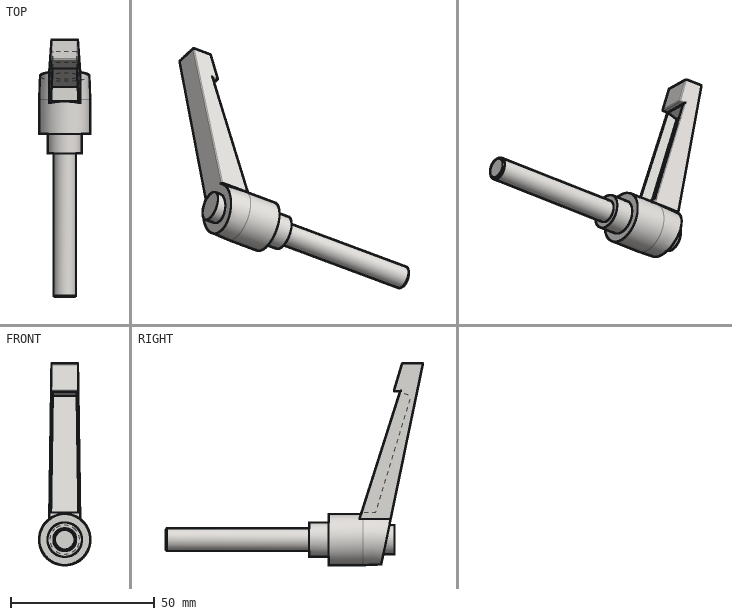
import cadquery as cq

overall_length = 89.9

hub_radius = 9.0
hub_straight_length = 12.0
hub_taper_length = 11.7
hub_back_radius = 8.5
collar_radius = 6.0
collar_length = 6.8
shaft_radius = 4.0
shaft_chamfer = 0.5
button_radius = 5.1
button_back_y = 23.0

arm_base_z = 7.2
arm_top_z = 61.7
arm_base_width = 11.0
arm_top_width = 9.35
arm_base_front_y = 10.7
arm_base_back_y = 21.7
arm_top_front_y = 25.6
arm_top_back_y = 33.0
step_z = 51.8
step_tip_y = 22.65
step_root_y = 24.9
arm_edge_fillet = 0.315
step_tip_fillet = 0.4
top_front_fillet = 0.8
top_back_fillet = 0.4

pocket_bottom_z = 9.5
pocket_base_depth = 4.9
pocket_top_depth = 4.0
pocket_wall = 0.7
pocket_top_gap = 0.3

back_slope = (arm_top_back_y - arm_base_back_y) / (arm_top_z - arm_base_z)
front_slope = (step_root_y - arm_base_front_y) / (step_z - arm_base_z)


def back_y(z):
    """Position at height z of the sloping plane shared by the arm and hub backs."""
    return arm_base_back_y + back_slope * (z - arm_base_z)


def front_y(z):
    """Position at height z of the arm's front face below the step."""
    return arm_base_front_y + front_slope * (z - arm_base_z)


def cylinder(radius, start_y, end_y):
    """Cylinder about the Y axis."""
    plane = cq.Workplane("XZ", origin=(0, start_y, 0))
    return plane.circle(radius).extrude(start_y - end_y)


def side_prism(points, width):
    """Prism with a YZ outline, centred on x = 0."""
    return cq.Workplane("YZ").polyline(points).close().extrude(width / 2, both=True)


def tapered_slab(inset):
    """Slab bounded by the arm's tapering sides, each moved inward by inset."""
    base_x = arm_base_width / 2 - inset
    top_x = arm_top_width / 2 - inset
    outline = [(-base_x, arm_base_z), (base_x, arm_base_z), (top_x, arm_top_z), (-top_x, arm_top_z)]
    return cq.Workplane("XZ").polyline(outline).close().extrude(-2 * arm_top_back_y)


def make_hub():
    end_y = hub_straight_length + hub_taper_length
    outline = [
        (0, 0),
        (hub_radius, 0),
        (hub_radius, hub_straight_length),
        (hub_back_radius, end_y),
        (0, end_y),
    ]
    body = cq.Workplane("XY").polyline(outline).close().revolve(360, (0, 0, 0), (0, 1, 0))
    low_z = -2 * hub_radius
    high_z = 2 * hub_radius
    keep = [(0, low_z), (back_y(low_z), low_z), (back_y(high_z), high_z), (0, high_z)]
    body = body.intersect(side_prism(keep, 4 * hub_radius))
    return body.union(cylinder(button_radius, hub_straight_length, button_back_y))


def make_arm():
    outline = [
        (arm_base_front_y, arm_base_z),
        (step_root_y, step_z),
        (step_tip_y, step_z),
        (arm_top_front_y, arm_top_z),
        (arm_top_back_y, arm_top_z),
        (arm_base_back_y, arm_base_z),
    ]
    arm = side_prism(outline, 2 * arm_base_width)
    arm = arm.faces(">Z").edges("<Y").fillet(top_front_fillet)
    arm = arm.faces(">Z").edges(">Y").fillet(top_back_fillet)
    step_tip = cq.NearestToPointSelector((0, step_tip_y, step_z))
    arm = arm.edges("|X").edges(step_tip).fillet(step_tip_fillet)
    arm = arm.intersect(tapered_slab(0))
    return arm.edges("not(<Z or #Z)").fillet(arm_edge_fillet)


def make_pocket():
    """Pocket whose upper end wall stands square to the arm's front face."""
    opening_z = step_z - pocket_top_gap
    inner_z = opening_z - pocket_top_depth * front_slope
    overshoot = 0.9
    outline = [
        (front_y(pocket_bottom_z) - overshoot, pocket_bottom_z),
        (front_y(pocket_bottom_z) + pocket_base_depth, pocket_bottom_z),
        (front_y(opening_z) + pocket_top_depth, inner_z),
        (front_y(opening_z), opening_z),
        (front_y(opening_z) - overshoot, opening_z),
    ]
    return side_prism(outline, arm_base_width).intersect(tapered_slab(pocket_wall))


def make_screw():
    """Collar and shaft, reaching the overall length from the rounded lever tip."""
    shaft_end_y = back_y(arm_top_z - top_back_fillet) - overall_length
    shaft = cylinder(shaft_radius, 0, shaft_end_y).faces("<Y").edges().chamfer(shaft_chamfer)
    return shaft.union(cylinder(collar_radius, 0, -collar_length))


lever = make_arm().cut(make_pocket())
result = make_hub().union(lever).union(make_screw())